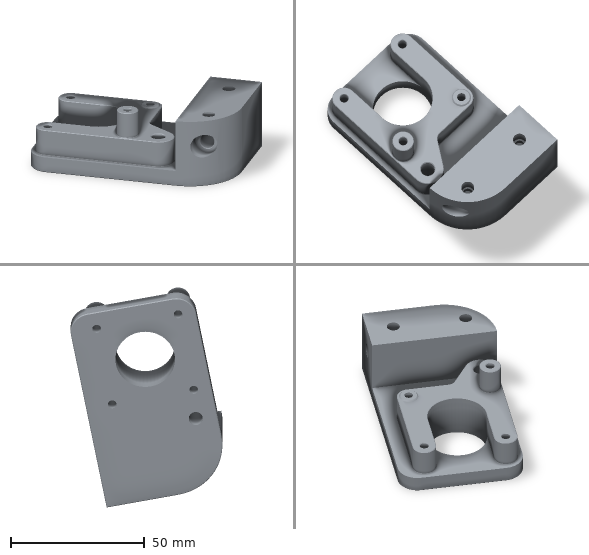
import cadquery as cq
import math

length, width, height = 78.0, 47.5, 26.0
base_height = 6.0
plate_corner_radius = 7.5
block_length = 20.05
block_corner_radius = block_length
block_start = length - block_length
bottom_chamfer = 0.3

bore_x, bore_y = 22.0, 22.1
bore_diameter = 22.2
bolt_spacing = 31.0
left_x = bore_x - bolt_spacing / 2
right_x = bore_x + bolt_spacing / 2
lower_y = bore_y - bolt_spacing / 2
upper_y = bore_y + bolt_spacing / 2
bolt_hole_diameter = 3.2
bolt_rim_chamfer = 0.2

pad_top = 16.0
arm_radius = 4.45
lobe_radius = 6.0
lobe_x, lobe_y = 49.0, 8.0
lobe_hole_diameter = 5.2
lobe_rim_chamfer = 0.3
web_angle = math.radians(56.4)
web_fillet = 3.1
pad_edge_chamfer = 0.2
foot_chamfer = 0.2

pin_diameter = 8.0
pin_chamfer = 0.2
boss_bottom_diameter, boss_top_diameter = 7.2, 6.25
boss_height = 0.5

block_hole_x = block_start + block_length / 2
block_hole_ys = (10.1, upper_y)
block_hole_diameter, block_hole_depth = 4.8, 5.0
pilot_diameter, pilot_depth = 3.5, 7.0
cross_hole_z = pad_top
cross_hole_diameter = 5.4
cross_rim_chamfer = 0.3
counterbore_diameter, counterbore_floor_y = 9.0, 7.8


def cylinder(x, y, z, diameter, depth):
    """Upright cylinder starting at height z."""
    return cq.Workplane("XY", origin=(x, y, z)).circle(diameter / 2).extrude(depth)


def cone(x, y, z, bottom_diameter, top_diameter, depth):
    """Upright truncated cone starting at height z."""
    half_section = [(0, 0), (bottom_diameter / 2, 0), (top_diameter / 2, depth), (0, depth)]
    profile = cq.Workplane("XZ", origin=(x, y, z)).polyline(half_section).close()
    return profile.revolve(360, (0, 0, 0), (0, 1, 0))


def chamfered_hole(x, y, top, diameter, rim):
    """Cutter for a hole from the underside to height top, with a chamfered upper rim."""
    hole = cylinder(x, y, 0, diameter, top)
    return hole.union(cone(x, y, top - rim, diameter, diameter + 2 * rim, rim))


def make_base():
    body = cq.Workplane("XY").box(length, width, height, centered=False)
    body = body.edges("|Z and <X").fillet(plate_corner_radius)
    body = body.edges("|Z and >X and <Y").fillet(block_corner_radius)
    body = body.faces("<Z").chamfer(bottom_chamfer)
    above_plate = cq.Workplane("XY").box(block_start, width, height - base_height, centered=False)
    return body.cut(above_plate.translate((0, 0, base_height)))


def make_pad():
    """Pad with a slanted web tangent to the lobe, with a slot between its arms opening into the bore."""
    side_x = right_x + arm_radius
    diagonal = arm_radius * math.sqrt(0.5)
    web_x = lobe_x + lobe_radius * math.cos(web_angle)
    web_y = lobe_y + lobe_radius * math.sin(web_angle)
    lobe_mid_angle = (web_angle - math.pi / 2) / 2
    lobe_mid_x = lobe_x + lobe_radius * math.cos(lobe_mid_angle)
    lobe_mid_y = lobe_y + lobe_radius * math.sin(lobe_mid_angle)
    web_corner = (side_x, web_y + (web_x - side_x) / math.tan(web_angle))
    slot_radius = bolt_spacing / 2 - arm_radius

    outline = (
        cq.Workplane("XY", origin=(0, 0, base_height))
        .moveTo(left_x, lower_y - arm_radius)
        .lineTo(lobe_x, lobe_y - lobe_radius)
        .threePointArc((lobe_mid_x, lobe_mid_y), (web_x, web_y))
        .lineTo(*web_corner)
        .lineTo(side_x, upper_y)
        .threePointArc((right_x + diagonal, upper_y + diagonal), (right_x, upper_y + arm_radius))
        .lineTo(left_x, upper_y + arm_radius)
        .threePointArc((left_x - arm_radius, upper_y), (left_x, upper_y - arm_radius))
        .lineTo(bore_x, upper_y - arm_radius)
        .threePointArc((bore_x + slot_radius, bore_y), (bore_x, lower_y + arm_radius))
        .lineTo(left_x, lower_y + arm_radius)
        .threePointArc((left_x - arm_radius, lower_y), (left_x, lower_y - arm_radius))
        .close()
    )
    pad = outline.extrude(pad_top - base_height)
    web_edge = cq.selectors.NearestToPointSelector((*web_corner, (base_height + pad_top) / 2))
    pad = pad.edges(web_edge).fillet(web_fillet)
    pad = pad.faces(">Z").chamfer(pad_edge_chamfer)

    foot_wire = pad.faces("<Z").wires().val()
    flared_wire = foot_wire.offset2D(foot_chamfer)[0]
    upper_wire = foot_wire.translate(cq.Vector(0, 0, foot_chamfer))
    foot = cq.Solid.makeLoft([flared_wire, upper_wire], True)
    return pad.union(cq.Workplane(obj=foot))


def make_pin():
    pin = cylinder(right_x, lower_y, pad_top, pin_diameter, height - pad_top)
    pin = pin.faces(">Z").chamfer(pin_chamfer)
    foot_diameter = pin_diameter + 2 * foot_chamfer
    return pin.union(cone(right_x, lower_y, pad_top, foot_diameter, pin_diameter, foot_chamfer))


def make_boss():
    return cone(right_x, upper_y, pad_top, boss_bottom_diameter, boss_top_diameter, boss_height)


def cut_pad_holes(body):
    bolt_holes = [
        (left_x, lower_y, pad_top),
        (left_x, upper_y, pad_top),
        (right_x, lower_y, height),
    ]
    for x, y, top in bolt_holes:
        body = body.cut(chamfered_hole(x, y, top, bolt_hole_diameter, bolt_rim_chamfer))
    body = body.cut(cylinder(right_x, upper_y, 0, bolt_hole_diameter, height))
    body = body.cut(chamfered_hole(lobe_x, lobe_y, pad_top, lobe_hole_diameter, lobe_rim_chamfer))
    return body.cut(cylinder(bore_x, bore_y, 0, bore_diameter, height))


def cut_block_holes(body):
    for y in block_hole_ys:
        bottom = height - block_hole_depth
        body = body.cut(cylinder(block_hole_x, y, bottom, block_hole_diameter, block_hole_depth))
        body = body.cut(cylinder(block_hole_x, y, height - pilot_depth, pilot_diameter, pilot_depth))

    across = cq.Workplane("XZ", origin=(block_hole_x, width, cross_hole_z))
    cross_hole = across.circle(cross_hole_diameter / 2).extrude(width)
    at_floor = cq.Workplane("XZ", origin=(block_hole_x, counterbore_floor_y, cross_hole_z))
    counterbore = at_floor.circle(counterbore_diameter / 2).extrude(counterbore_floor_y)
    rim_diameter = cross_hole_diameter + 2 * cross_rim_chamfer
    rim = cone(0, 0, 0, rim_diameter, cross_hole_diameter, cross_rim_chamfer)
    rim = rim.rotate((0, 0, 0), (1, 0, 0), -90)
    rim = rim.translate((block_hole_x, counterbore_floor_y, cross_hole_z))
    return body.cut(cross_hole).cut(counterbore).cut(rim)


result = make_base().union(make_pad()).union(make_pin()).union(make_boss())
result = cut_block_holes(cut_pad_holes(result))